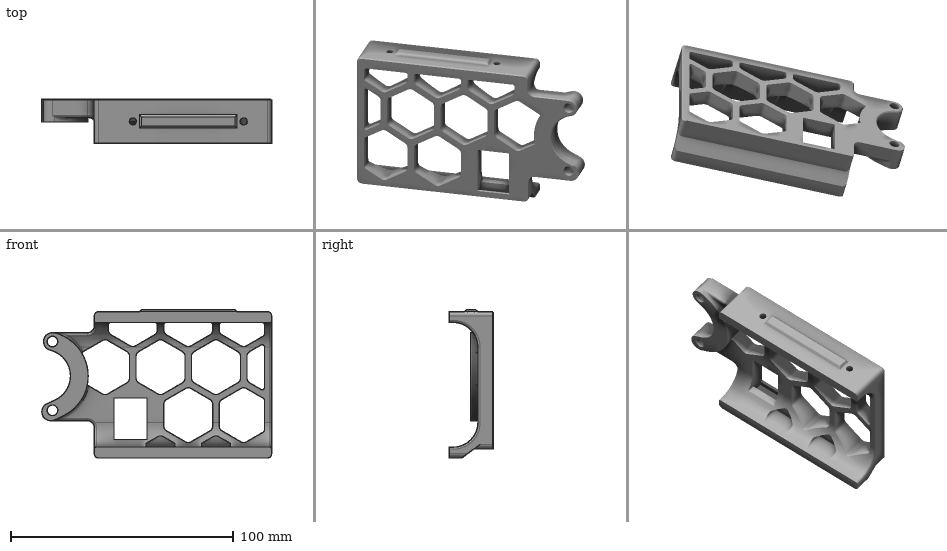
import cadquery as cq
import math

overall_length = 103.6
length = 80.0
height = 66.0
depth = 20.0
end_round = 2.0
edge_round = 1.0
back_chamfer = 0.5
web_thickness = 7.0
web_front = depth - web_thickness

tolerance = 0.01

rail_thickness = 5.0
lip_depth = 2.0
channel_radius = web_front - lip_depth
channel_top = height - rail_thickness
notch_height = 4.0
notch_front = 5.7
notch_back = 11.2

clamp_z = 37.0
clamp_mid_radius = 16.0
arm_half_width = 4.0
clamp_front = 9.6
clamp_outer_radius = clamp_mid_radius + arm_half_width
clamp_foot_round = 0.8
upper_arm_angle = math.radians(76)
lower_arm_angle = math.radians(-65)
lower_arm_extension = 4.0
lower_tip_offset = (
    clamp_mid_radius * math.cos(lower_arm_angle) + lower_arm_extension * math.sin(lower_arm_angle)
)
clamp_x = length - overall_length + arm_half_width - lower_tip_offset
clamp_hole_diameter = 4.7
step_round = 3.0

hex_width = 22.0
hex_pitch = 25.0
hex_row_pitch = hex_pitch * math.sqrt(3) / 2
hex_round = 2.5
cut_corner_round = 1.0
hex_column_x = 42.4
hex_row_z = 40.9
honeycomb_end = length - 3.3
blind_pocket_depth = 11.2

port_x = 9.0
port_width = 14.7
port_bottom = 8.4
port_top = 27.0
port_groove_floor = 4.5
port_groove_front = 13.4
port_lip_z = 6.7
port_lip_thickness = 1.3

key_length = 43.9
key_width = 6.0
key_height = 0.9
key_y = 10.0
pin_hole_diameter = 3.2
pin_hole_spacing = 2 * hex_pitch


def clamp_point(radius, angle):
    """Point at a polar position about the clamp axis."""
    return (clamp_x + radius * math.cos(angle), clamp_z + radius * math.sin(angle))


def beside_lower_arm(point, offset):
    """Point moved square to the lower arm, outward for a positive offset."""
    return (
        point[0] + offset * math.cos(lower_arm_angle),
        point[1] + offset * math.sin(lower_arm_angle),
    )


upper_tip = clamp_point(clamp_mid_radius, upper_arm_angle)
lower_bend = clamp_point(clamp_mid_radius, lower_arm_angle)
lower_tip = (
    clamp_x + lower_tip_offset,
    lower_bend[1] - lower_arm_extension * math.cos(lower_arm_angle),
)
web_top = upper_tip[1] + arm_half_width
web_bottom = lower_tip[1] - arm_half_width


def xz_prism(outline, front, back):
    """Extrude an XZ outline from one Y position to another."""
    return outline.extrude(front - back).translate((0, front, 0))


def block(x_range, y_range, z_range):
    """Box between two limits along each axis."""
    low, high = zip(x_range, y_range, z_range)
    sizes = [b - a for a, b in zip(low, high)]
    return cq.Workplane().box(*sizes, centered=False).translate(low)


def near(a, b):
    """Whether two positions coincide."""
    return abs(a - b) < tolerance


def make_plate(bottom):
    """Full-depth plate of rails and web, whose left end stops along the middle of the clamp."""
    outline = (
        cq.Workplane("XZ")
        .moveTo(0, bottom)
        .lineTo(length, bottom)
        .lineTo(length, height)
        .lineTo(0, height)
        .lineTo(0, web_top)
        .lineTo(upper_tip[0], web_top)
        .lineTo(*upper_tip)
        .threePointArc(clamp_point(clamp_mid_radius, 0), lower_bend)
        .lineTo(*lower_tip)
        .lineTo(lower_tip[0], web_bottom)
        .lineTo(0, web_bottom)
        .close()
    )

    def is_step_edge(edge):
        centre = edge.Center()
        return near(centre.x, 0) and (near(centre.z, web_top) or near(centre.z, web_bottom))

    plate = xz_prism(outline, 0, depth)
    plate = plate.edges("|Y").filter(is_step_edge).fillet(step_round)
    return plate.edges("|Y").edges("<Z or >Z").fillet(end_round)


def make_frame():
    """Plate whose lower rail slopes up behind its front to a raised back."""
    slope = notch_height / (notch_back - notch_front)
    wedge = (
        cq.Workplane("YZ")
        .moveTo(notch_front, 0)
        .lineTo(depth, slope * (depth - notch_front))
        .lineTo(depth, 0)
        .close()
        .extrude(length)
    )
    return make_plate(0).cut(wedge).union(make_plate(notch_height))


def cut_channel(frame):
    """Hollow the front into a round-cornered channel and round its open end edges."""
    channel = block(
        (lower_tip[0] - 1, length + 1),
        (-2 * depth, web_front),
        (rail_thickness, channel_top),
    )
    channel = channel.edges("|X").edges(">Y").fillet(channel_radius)
    frame = frame.cut(channel)

    def starts_rounded_edge(edge):
        centre = edge.Center()
        on_web_side = near(centre.z, web_top) or near(centre.z, web_bottom)
        on_right_end = near(centre.x, length) and near(centre.y, web_front)
        return (on_web_side and centre.y < depth - tolerance) or on_right_end

    return frame.edges("|X or |Z").filter(starts_rounded_edge).fillet(edge_round)


def make_clamp():
    """Horseshoe with a round upper tip and a straight extension on the lower arm."""
    inner_radius = clamp_mid_radius - arm_half_width
    upper_cap = (
        upper_tip[0] - arm_half_width * math.sin(upper_arm_angle),
        upper_tip[1] + arm_half_width * math.cos(upper_arm_angle),
    )
    lower_cap = (
        lower_tip[0] + arm_half_width * math.sin(lower_arm_angle),
        lower_tip[1] - arm_half_width * math.cos(lower_arm_angle),
    )
    outline = (
        cq.Workplane("XZ")
        .moveTo(*clamp_point(clamp_outer_radius, upper_arm_angle))
        .threePointArc(clamp_point(clamp_outer_radius, 0), clamp_point(clamp_outer_radius, lower_arm_angle))
        .lineTo(*beside_lower_arm(lower_tip, arm_half_width))
        .threePointArc(lower_cap, beside_lower_arm(lower_tip, -arm_half_width))
        .lineTo(*clamp_point(inner_radius, lower_arm_angle))
        .threePointArc(clamp_point(inner_radius, 0), clamp_point(inner_radius, upper_arm_angle))
        .threePointArc(upper_cap, clamp_point(clamp_outer_radius, upper_arm_angle))
        .close()
    )
    return xz_prism(outline, clamp_front, depth)


def round_clamp_foot(body):
    """Fillet between the clamp's outer arc and the web."""

    def is_foot_edge(edge):
        centre = edge.Center()
        ends = (edge.startPoint(), edge.endPoint())
        on_outer_arc = all(
            near(math.hypot(end.x - clamp_x, end.z - clamp_z), clamp_outer_radius) for end in ends
        )
        return on_outer_arc and clamp_front + tolerance < centre.y < depth - tolerance

    return body.edges().filter(is_foot_edge).fillet(clamp_foot_round)


def chamfer_back(body):
    """Chamfer the back outline, leaving the lower arm tip, lower left side and underside sharp."""

    def is_upper(edge):
        return edge.Center().z > lower_bend[1]

    sharp_top = beside_lower_arm(lower_tip, -arm_half_width)[1]
    sharp_region = block((clamp_x - clamp_outer_radius, length - end_round), (0, depth), (0, sharp_top))
    chamfered = body.faces(">Y").edges().filter(is_upper).chamfer(back_chamfer)
    return chamfered.union(body.intersect(sharp_region))


def hexagon(column_x, row_z, back):
    """Hexagonal cutter, trimmed to the area between the rails with its cut corners rounded."""
    corner_diameter = 2 * hex_width / math.sqrt(3)
    sharp_hexagon = cq.Workplane("XZ").polygon(6, corner_diameter).extrude(-back)
    upright_hexagon = sharp_hexagon.rotate((0, 0, 0), (0, 1, 0), 30)
    cutter = upright_hexagon.edges("|Y").fillet(hex_round).translate((column_x, 0, row_z))
    window = block((-hex_width, honeycomb_end), (0, depth), (rail_thickness, channel_top))

    def is_cut_corner(edge):
        centre = edge.Center()
        return (
            near(centre.x, honeycomb_end)
            or near(centre.z, rail_thickness)
            or near(centre.z, channel_top)
        )

    trimmed = cutter.intersect(window)
    corners = trimmed.edges("|Y").filter(is_cut_corner)
    return corners.fillet(cut_corner_round) if corners.size() else trimmed


def cut_honeycomb(body):
    """Staggered rows of hexagons, the lowest row blind, all kept clear of the clamp."""
    openings = [(step, 1, depth) for step in (-1, 0, 1)]
    openings += [(step, 0, depth) for step in (-1.5, -0.5, 0.5, 1.5)]
    openings += [(step, -1, depth) for step in (0, 1)]
    openings += [(step, -2, blind_pocket_depth) for step in (-0.5, 0.5)]
    clamp_disc = cq.Workplane("XZ").center(clamp_x, clamp_z).circle(clamp_outer_radius).extrude(-depth)
    for column, row, back in openings:
        cutter = hexagon(hex_column_x + column * hex_pitch, hex_row_z + row * hex_row_pitch, back)
        body = body.cut(cutter.cut(clamp_disc))
    return body


def cut_port(body):
    """Rectangular port whose floor has a groove in it and a low lip at the back."""
    lip_front = depth - port_lip_thickness
    x_range = (port_x, port_x + port_width)
    opening = block(x_range, (0, depth), (port_bottom, port_top))
    groove = block(x_range, (port_groove_front, lip_front), (port_groove_floor, port_top))
    lip_gap = block(x_range, (lip_front, depth), (port_lip_z, port_top))
    return body.cut(opening).cut(groove).cut(lip_gap)


def add_key(body):
    """Raised bar with all four sides sloping at 45 degrees."""
    key = cq.Workplane().rect(key_length, key_width).extrude(key_height, taper=45)
    return body.union(key.translate((hex_column_x, key_y, height)))


def cut_round_holes(body):
    """Two screw holes through the clamp tips and two pin holes through the upper rail."""
    for x, z in (upper_tip, (upper_tip[0], 2 * clamp_z - upper_tip[1])):
        hole = cq.Workplane("XZ").center(x, z).circle(clamp_hole_diameter / 2).extrude(-depth)
        body = body.cut(hole)
    for side in (-1, 1):
        x = hex_column_x + side * pin_hole_spacing / 2
        hole = (
            cq.Workplane("XY", origin=(x, key_y, channel_top - channel_radius))
            .circle(pin_hole_diameter / 2)
            .extrude(height)
        )
        body = body.cut(hole)
    return body


frame = cut_channel(make_frame())
body = round_clamp_foot(frame.union(make_clamp()))
body = chamfer_back(body)
body = cut_port(cut_honeycomb(body))
result = cut_round_holes(add_key(body))